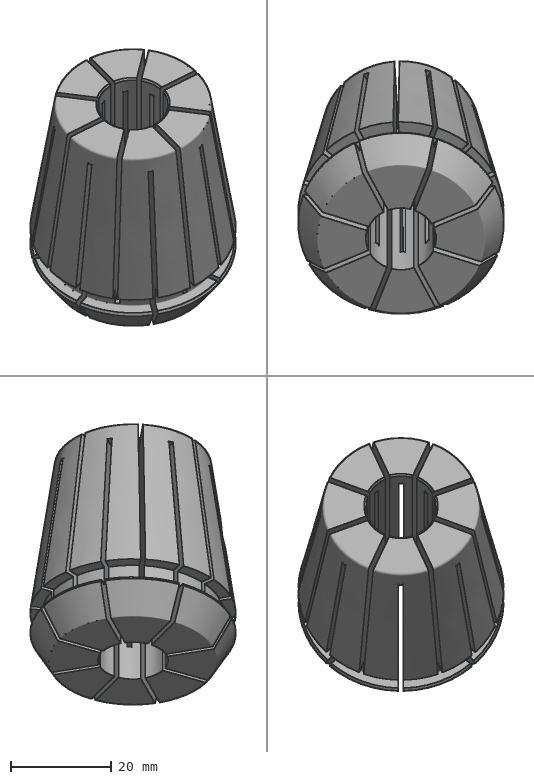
import cadquery as cq
import math

height = 46.0
outer_radius = 20.5
bore_radius = 14.0 / 2

cone_half_angle = 8.0
cone_base_z = 11.15
cone_top_radius = outer_radius - (height - cone_base_z) * math.tan(math.radians(cone_half_angle))

groove_radius = 18.12
groove_floor_z = 7.15
nose_half_angle = 30.0
rim_z = 6.55
rim_chamfer_width = 0.35
nose_bottom_radius = outer_radius - rim_z * math.tan(math.radians(nose_half_angle))

top_fillet = 0.5
groove_root_fillet = 0.2
nose_fillet = 0.2
bore_chamfer = 0.35

slot_count = 8
slot_width = 0.95
blade_length = 3 * outer_radius
lower_slot_top_z = 42.55
upper_slot_floor_z = 7.6


def circle_edge(body, radius, z):
    """Select the circular edge of the given radius lying at height z."""
    margin = 0.005
    return body.edges("%CIRCLE").filter(
        lambda edge: abs(edge.radius() - radius) < margin and abs(edge.Center().z - z) < margin
    )


def collet_body():
    """Revolved collet with a plain through bore."""
    profile = [
        (bore_radius, 0),
        (nose_bottom_radius, 0),
        (outer_radius, rim_z),
        (outer_radius - rim_chamfer_width, groove_floor_z),
        (groove_radius, groove_floor_z),
        (groove_radius, cone_base_z),
        (outer_radius, cone_base_z),
        (cone_top_radius, height),
        (bore_radius, height),
    ]
    body = cq.Workplane("XZ").polyline(profile).close().revolve(360, (0, 0, 0), (0, 1, 0))
    body = circle_edge(body, cone_top_radius, height).fillet(top_fillet)
    body = circle_edge(body, bore_radius, height).chamfer(bore_chamfer)
    body = circle_edge(body, groove_radius, groove_floor_z).fillet(groove_root_fillet)
    return circle_edge(body, nose_bottom_radius, 0).fillet(nose_fillet)


def slot_set(bottom_z, top_z, first_angle):
    """Full-diameter blades, each cutting two opposite slots."""
    blade = (
        cq.Workplane("XY", origin=(0, 0, bottom_z))
        .rect(blade_length, slot_width)
        .extrude(top_z - bottom_z)
    )
    blades = cq.Workplane("XY")
    for index in range(slot_count // 2):
        angle = first_angle + index * 360 / slot_count
        blades = blades.add(blade.rotate((0, 0, 0), (0, 0, 1), angle))
    return blades.combine()


lower_slots = slot_set(0, lower_slot_top_z, 0)
upper_slots = slot_set(upper_slot_floor_z, height, 180 / slot_count)

result = collet_body().cut(lower_slots).cut(upper_slots)